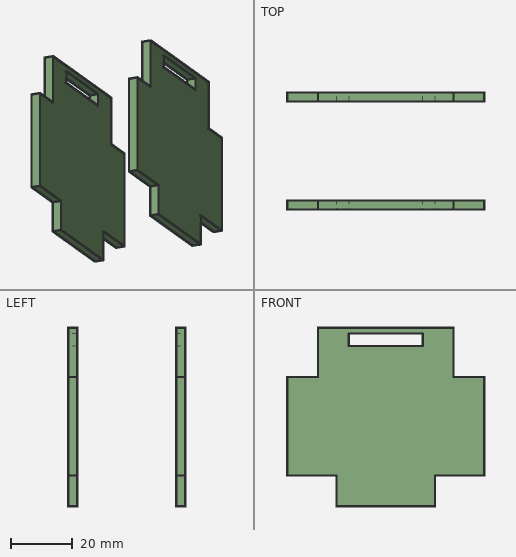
import cadquery as cq

body_width = 64.0
body_height = 32.0
head_width = 44.0
head_height = 16.0
foot_width = 32.0
foot_height = 10.0

plate_thickness = 3.0
overall_depth = 38.0
plate_pitch = overall_depth - plate_thickness
plate_count = 2

slot_width = 24.0
slot_height = 4.0
slot_top_margin = 2.0

body_bottom = foot_height
body_top = body_bottom + body_height
head_top = body_top + head_height


def centered_block(width, height, bottom, front):
    """Block one plate thick, centred on X, with its front face at Y = front."""
    return (
        cq.Workplane("XY")
        .box(width, plate_thickness, height, centered=(True, False, False))
        .translate((0, front, bottom))
    )


def make_plate(front):
    """Stepped plate with a slot in its head."""
    body = centered_block(body_width, body_height, body_bottom, front)
    head = centered_block(head_width, head_height, body_top, front)
    foot = centered_block(foot_width, foot_height, 0, front)
    slot_bottom = head_top - slot_top_margin - slot_height
    slot = centered_block(slot_width, slot_height, slot_bottom, front)
    return body.union(head).union(foot).cut(slot).clean()


plates = []
for index in range(plate_count):
    front = -overall_depth / 2 + index * plate_pitch
    plates.append(make_plate(front).solids().val())

result = cq.Compound.makeCompound(plates)